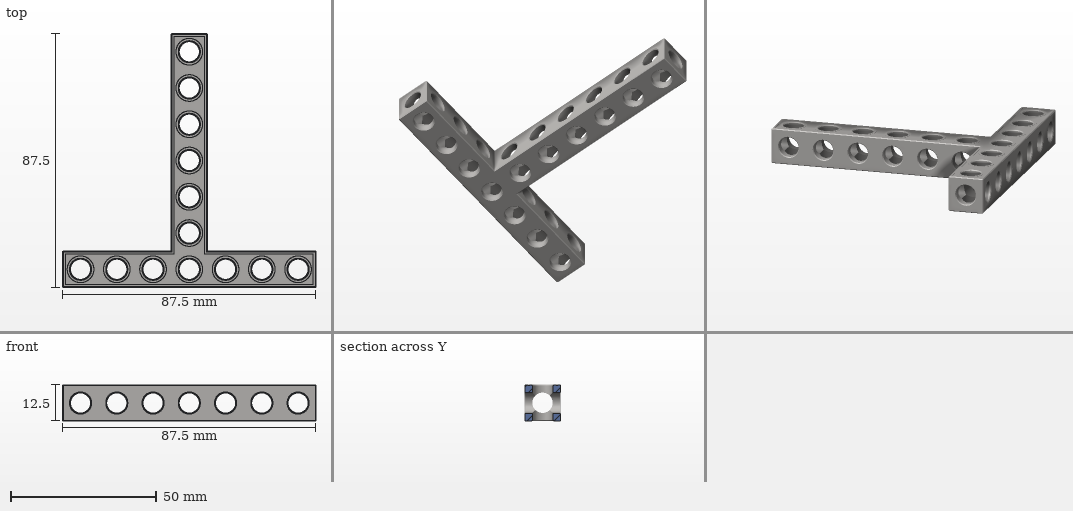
import cadquery as cq

span = 87.5
cells = 7
hole_diameter = 7.0
edge_chamfer = 0.3
hole_chamfer = 0.3
border_width = 1.05
collar_diameter = 9.2
recess_depth = 0.1

pitch = span / cells
half = span / 2
hole_radius = hole_diameter / 2
row_y = -half + pitch / 2
cell_centers = [-half + pitch * (i + 0.5) for i in range(cells)]
vertical_hole_centers = [(x, row_y) for x in cell_centers] + [(0, y) for y in cell_centers[1:]]


def tee(inset, bottom, height, bevel=0.0):
    """Tee-shaped block with its outline moved inward by `inset` and its convex edges bevelled."""
    bar_length = span - 2 * inset
    bar_width = pitch - 2 * inset
    middle = bottom + height / 2
    crossbar = cq.Workplane("XY", origin=(0, row_y, middle)).box(bar_length, bar_width, height)
    stem = cq.Workplane("XY", origin=(0, 0, middle)).box(bar_width, bar_length, height)
    if bevel:
        crossbar = crossbar.edges().chamfer(bevel)
        stem = stem.edges().chamfer(bevel)
    return crossbar.union(stem)


def through_hole(center, direction, length):
    """Cutter for a hole of the given length, centred at `center` and bevelled at both mouths."""
    mouth_radius = hole_radius + hole_chamfer
    half_length = length / 2
    profile = [
        (0, -half_length),
        (mouth_radius, -half_length),
        (hole_radius, -half_length + hole_chamfer),
        (hole_radius, half_length - hole_chamfer),
        (mouth_radius, half_length),
        (0, half_length),
    ]
    side = cq.Vector(0, 1, 0) if direction[0] else cq.Vector(1, 0, 0)
    normal = side.cross(cq.Vector(*direction))
    plane = cq.Plane(origin=center, xDir=side, normal=normal)
    return cq.Workplane(plane).polyline(profile).close().revolve(360, (0, 0), (0, 1))


body = tee(0, -pitch / 2, pitch, edge_chamfer)

collars = (
    cq.Workplane("XY", origin=(0, 0, pitch / 2 - recess_depth))
    .pushPoints(vertical_hole_centers)
    .circle(collar_diameter / 2)
    .extrude(recess_depth)
)
panel = tee(border_width, pitch / 2 - recess_depth, recess_depth).cut(collars)
body = body.cut(panel)

for x, y in vertical_hole_centers:
    body = body.cut(through_hole((x, y, 0), (0, 0, 1), pitch))

for x in cell_centers:
    in_stem = abs(x) < pitch / 2
    length = span if in_stem else pitch
    y = 0 if in_stem else row_y
    body = body.cut(through_hole((x, y, 0), (0, 1, 0), length))

for y in cell_centers:
    length = span if y == cell_centers[0] else pitch
    body = body.cut(through_hole((0, y, 0), (1, 0, 0), length))

result = body